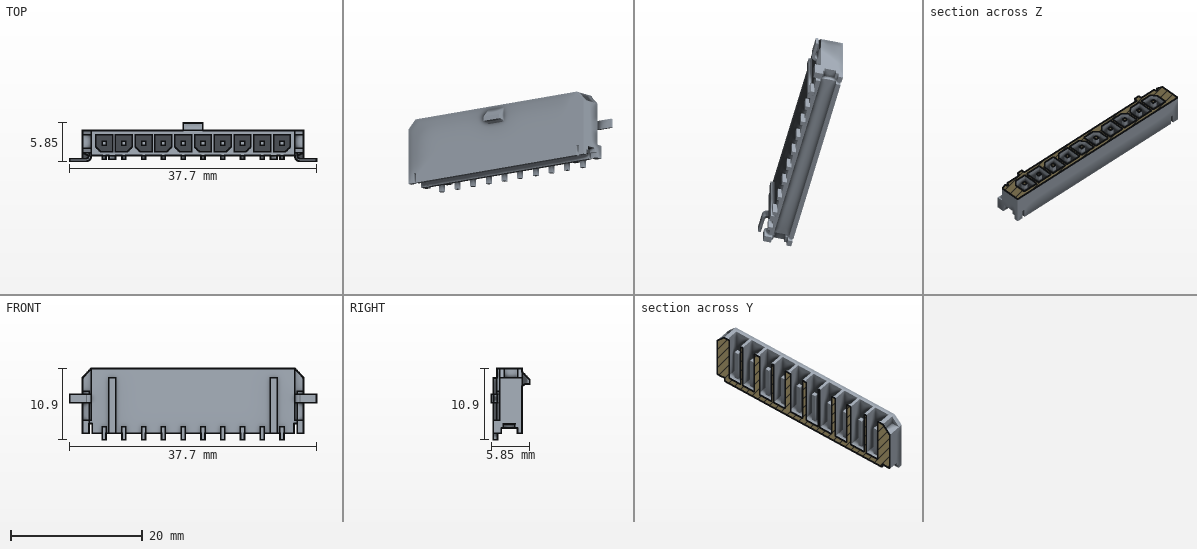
import cadquery as cq


contact_count = 10
pitch = 3.0
contact_size = 0.65
contact_y = -1.95
contact_tip_z = 7.35
contact_root_z = 1.65
tail_rear_y = -3.73
tail_top_z = 1.0
tail_bottom_z = -0.98

body_length = 31.05
body_depth = 3.85
body_height = 9.9
standoff_y = -4.4

cavity_width = 2.55
cavity_floor_z = 2.05
key_chamfer = 0.75
cavity_keys = ["left", "right", "left", "right", "left", "left", "right", "right", None, "right"]

channel_rear_y = -0.7
channel_front_y = -3.15
channel_height = 0.8

ear_outer_x = 16.87
ear_depth = 3.43
ear_height = 8.47
ear_pocket_rear_y = -0.65
ear_pocket_front_y = -2.7
foot_inner_x = 15.85
foot_height = 2.05
wedge_top_z = 6.45
slit_inner_x = 15.4
slit_height = 1.45
window_rear_y = -1.1
window_front_y = -2.85
window_top_z = 1.4

tab_end_x = 18.83
tab_front_y = -4.7
tab_thickness = 0.4
tab_bend_radius = 0.8
tab_bottom_z = 4.65
tab_width = 1.35

rib_x = 12.3
rib_width = 1.0
rib_height = ear_height

latch_width = 3.0
latch_reach = 1.15
latch_top_z = 9.38
latch_nose_top_z = 8.17
latch_nose_bottom_z = 7.5
latch_root_reach = 0.4
latch_root_drop = 0.3

body_end_x = body_length / 2
contact_xs = [(i - (contact_count - 1) / 2) * pitch for i in range(contact_count)]


def block(x0, x1, y0, y1, z0, z1):
    """Axis-aligned box between two opposite corners."""
    return cq.Workplane("XY").box(x1 - x0, y1 - y0, z1 - z0, centered=False).translate((x0, y0, z0))


def prism(points, bottom_z, top_z):
    """Vertical prism on a closed XY outline."""
    return cq.Workplane("XY").workplane(offset=bottom_z).polyline(points).close().extrude(top_z - bottom_z)


def cavity(x, key):
    """Contact cavity open at the top, with one front corner cut off for keying."""
    height = body_height - cavity_floor_z
    shape = (
        cq.Workplane("XY")
        .workplane(offset=cavity_floor_z)
        .center(x, contact_y)
        .rect(cavity_width, cavity_width)
        .extrude(height)
    )
    if key == "left":
        shape = shape.edges("|Z and <X and <Y").chamfer(key_chamfer)
    elif key == "right":
        shape = shape.edges("|Z and >X and <Y").chamfer(key_chamfer)
    return shape


def contact(x):
    """Square pin inside the cavity."""
    half = contact_size / 2
    return block(x - half, x + half, contact_y - half, contact_y + half, contact_root_z, contact_tip_z)


def tail(x):
    """Solder tail standing against the front wall and reaching below the housing."""
    half = contact_size / 2
    return block(x - half, x + half, standoff_y, tail_rear_y, tail_bottom_z, tail_top_z)


def right_ear():
    """Sloped, pocketed end ear with its front foot and tab-retaining wedge."""
    ear = (
        cq.Workplane("XZ")
        .moveTo(body_end_x, 0)
        .lineTo(ear_outer_x, 0)
        .lineTo(ear_outer_x, ear_height)
        .lineTo(body_end_x, body_height)
        .close()
        .extrude(ear_depth)
    )
    pocket = block(body_end_x, ear_outer_x, ear_pocket_front_y, ear_pocket_rear_y, ear_height, body_height)
    foot = block(foot_inner_x, ear_outer_x, standoff_y, -ear_depth, 0, foot_height)
    foot_bridge = block(body_end_x, foot_inner_x, -body_depth, -ear_depth, slit_height, foot_height)
    wedge = prism(
        [(ear_outer_x, -ear_depth), (foot_inner_x, -ear_depth), (foot_inner_x, -body_depth)],
        foot_height,
        wedge_top_z,
    )
    return ear.cut(pocket).union(foot).union(foot_bridge).union(wedge)


def right_ear_openings():
    """Slit between foot and body, and the small window through the ear above the channel."""
    slit = block(slit_inner_x, foot_inner_x, standoff_y, 0, 0, slit_height)
    window = block(slit_inner_x, ear_outer_x, window_front_y, window_rear_y, 0, window_top_z)
    return slit.union(window)


def right_tab():
    """Bent strip leaving the front of the ear and turning outward."""
    inner_radius = tab_bend_radius - tab_thickness
    bend_x = body_end_x + tab_bend_radius
    bend_y = tab_front_y + tab_bend_radius
    return (
        cq.Workplane("XY")
        .workplane(offset=tab_bottom_z)
        .moveTo(body_end_x, -ear_depth)
        .lineTo(body_end_x, bend_y)
        .radiusArc((bend_x, tab_front_y), -tab_bend_radius)
        .lineTo(tab_end_x, tab_front_y)
        .lineTo(tab_end_x, tab_front_y + tab_thickness)
        .lineTo(bend_x, tab_front_y + tab_thickness)
        .radiusArc((bend_x - inner_radius, bend_y), inner_radius)
        .lineTo(body_end_x + tab_thickness, -ear_depth)
        .close()
        .extrude(tab_width)
    )


def right_rib():
    """Standoff rib on the front wall."""
    half = rib_width / 2
    return block(rib_x - half, rib_x + half, standoff_y, -body_depth, 0, rib_height)


def latch():
    """Ramp on the rear wall with a sloped root under its nose."""
    return (
        cq.Workplane("YZ")
        .moveTo(0, latch_top_z)
        .lineTo(latch_reach, latch_nose_top_z)
        .lineTo(latch_reach, latch_nose_bottom_z)
        .lineTo(latch_root_reach, latch_nose_bottom_z)
        .lineTo(0, latch_nose_bottom_z - latch_root_drop)
        .close()
        .extrude(latch_width / 2, both=True)
    )


def on_both_ends(shape):
    """The shape together with its mirror image at the other end of the row."""
    return shape.union(shape.mirror("YZ"))


housing = block(-body_end_x, body_end_x, -body_depth, 0, 0, body_height)
housing = housing.union(on_both_ends(right_ear())).union(on_both_ends(right_rib())).union(latch())

housing = housing.cut(on_both_ends(right_ear_openings()))
housing = housing.cut(block(-ear_outer_x, ear_outer_x, channel_front_y, channel_rear_y, 0, channel_height))

for x, key in zip(contact_xs, cavity_keys):
    housing = housing.cut(cavity(x, key))
    housing = housing.union(contact(x)).union(tail(x))

result = housing.union(on_both_ends(right_tab()))